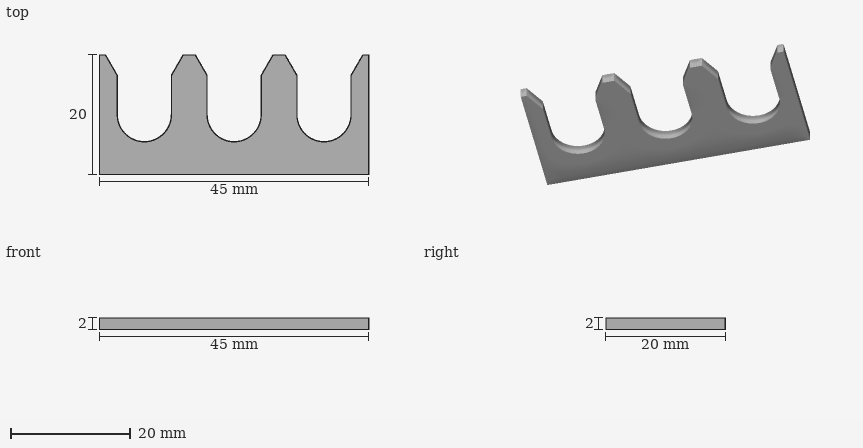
import cadquery as cq
import math

length = 45.0
depth = 20.0
thickness = 2.0

slot_count = 3
slot_pitch = length / slot_count
slot_width = 9.0
slot_radius = slot_width / 2
web_depth = 5.5

flare_width = 2.0
flare_angle = 60.0
flare_depth = flare_width * math.tan(math.radians(flare_angle))

open_edge_y = depth / 2
flare_start_y = open_edge_y - flare_depth
slot_bottom_y = -depth / 2 + web_depth
arc_centre_y = slot_bottom_y + slot_radius


def slot_cutter(centre_x):
    """Solid filling one round-bottomed slot and its flared mouth."""
    left = centre_x - slot_radius
    right = centre_x + slot_radius
    return (
        cq.Workplane("XY")
        .moveTo(left - flare_width, open_edge_y)
        .lineTo(left, flare_start_y)
        .lineTo(left, arc_centre_y)
        .threePointArc((centre_x, slot_bottom_y), (right, arc_centre_y))
        .lineTo(right, flare_start_y)
        .lineTo(right + flare_width, open_edge_y)
        .close()
        .extrude(thickness)
    )


result = cq.Workplane("XY").box(length, depth, thickness, centered=(True, True, False))
for index in range(slot_count):
    slot_x = (index - (slot_count - 1) / 2) * slot_pitch
    result = result.cut(slot_cutter(slot_x))